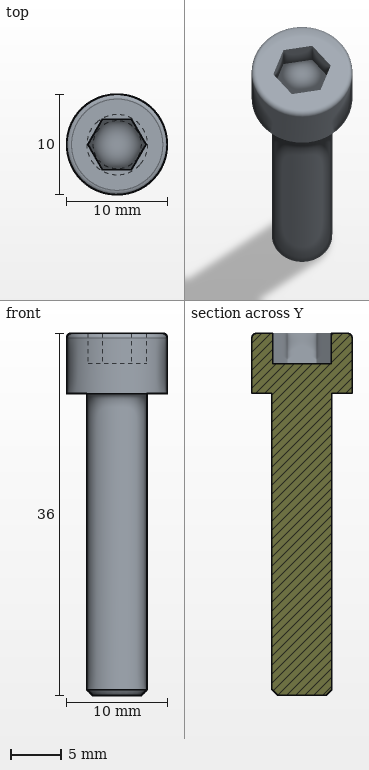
import cadquery as cq
import math

total_length = 36.0
head_diameter = 10.0
shank_diameter = 6.0
head_height = shank_diameter
shank_length = total_length - head_height
head_edge_radius = 0.45
tip_chamfer = 0.6
socket_across_flats = 5.0
socket_depth = 3.0


def make_head():
    head = cq.Workplane("XY").circle(head_diameter / 2).extrude(head_height)
    return head.faces(">Z").edges().fillet(head_edge_radius)


def make_shank():
    shank = cq.Workplane("XY").circle(shank_diameter / 2).extrude(-shank_length)
    return shank.faces("<Z").edges().chamfer(tip_chamfer)


def make_socket():
    across_corners = socket_across_flats / math.cos(math.pi / 6)
    top = cq.Workplane("XY").workplane(offset=head_height)
    return top.polygon(6, across_corners).extrude(-socket_depth)


result = make_head().union(make_shank()).cut(make_socket())